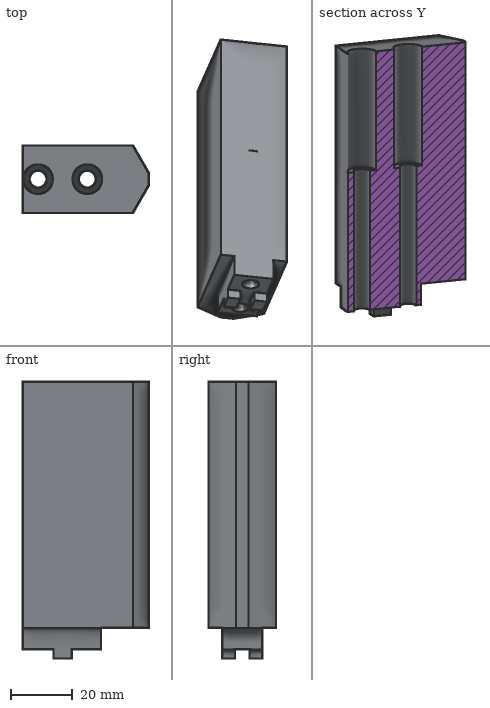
import cadquery as cq
import math

body_length = 41.0
body_width = 22.0
total_height = 90.0

nose_flat_width = 4.0
nose_angle = 60.0

tenon_length = 25.5
tenon_width = 13.0
tenon_height = 7.0

lug_start = 10.0
lug_length = 6.0
lug_height = 3.0
lug_gap = 4.6

hole_diameter = 5.5
counterbore_diameter = 9.6
first_hole_x = 5.0
hole_spacing = 16.0

tenon_base_z = lug_height
body_base_z = tenon_base_z + tenon_height
body_height = total_height - body_base_z
nose_length = (body_width - nose_flat_width) / 2 / math.tan(math.radians(nose_angle))
lug_width = (tenon_width - lug_gap) / 2
counterbore_depth = body_height / 2
hole_positions = [(first_hole_x, 0), (first_hole_x + hole_spacing, 0)]


def make_body():
    """Tall prism with one flat end and one end tapered to a narrow flat."""
    shoulder_x = body_length - nose_length
    half_width = body_width / 2
    half_flat = nose_flat_width / 2
    outline = [
        (0, -half_width),
        (shoulder_x, -half_width),
        (body_length, -half_flat),
        (body_length, half_flat),
        (shoulder_x, half_width),
        (0, half_width),
    ]
    return (
        cq.Workplane("XY")
        .workplane(offset=body_base_z)
        .polyline(outline)
        .close()
        .extrude(body_height)
    )


def make_tenon():
    """Narrow block under the body, flush with its flat end."""
    return (
        cq.Workplane("XY")
        .box(tenon_length, tenon_width, tenon_height, centered=(False, True, False))
        .translate((0, 0, tenon_base_z))
    )


def make_lug(side):
    """Small foot under the tenon, flush with its +Y (side = 1) or -Y (side = -1) face."""
    center_y = side * (tenon_width - lug_width) / 2
    return (
        cq.Workplane("XY")
        .box(lug_length, lug_width, lug_height, centered=(False, True, False))
        .translate((lug_start, center_y, 0))
    )


def cut_screw_holes(part):
    """Counterbored holes from the top face, through the body and the tenon."""
    return (
        part.faces(">Z")
        .workplane(origin=(0, 0, total_height))
        .pushPoints(hole_positions)
        .cboreHole(hole_diameter, counterbore_diameter, counterbore_depth)
    )


result = make_body().union(make_tenon())
for lug_side in (-1, 1):
    result = result.union(make_lug(lug_side))
result = cut_screw_holes(result)